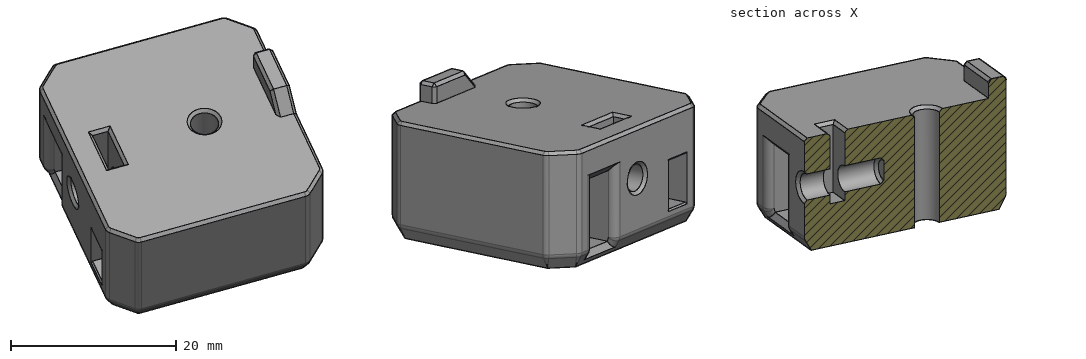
import cadquery as cq
import math

LENGTH = 30.0
WIDTH = 28.0
HEIGHT = 15.0
CORNER_CUT = 3.0
EDGE_RADIUS = 1.0
EDGE_CHAMFER = 0.4
FRONT_Y = -WIDTH / 2
BACK_Y = WIDTH / 2

SKIRT_INSET = 1.0
SKIRT_ANGLE = math.radians(30)
SKIRT_HEIGHT = SKIRT_INSET / math.tan(SKIRT_ANGLE)
RIM_TANGENT = EDGE_RADIUS * math.tan(SKIRT_ANGLE / 2)

BORE_DIAMETER = 3.4
TOP_BORE_Y = 3.0
FRONT_BORE_Z = 8.5
FRONT_BORE_DEPTH = 11.0
BORE_TIP_DIAMETER = 2.6

NUT_LENGTH = 5.7
NUT_THICKNESS = 2.0
NUT_Y = -9.4
NUT_FLOOR_Z = FRONT_BORE_Z - NUT_LENGTH / 2

LARGE_X = -7.0
LARGE_WIDTH = 4.65
LARGE_FLOOR_Z = 1.5
LARGE_HEIGHT = 9.0
FLARE = 1.0

SMALL_X = 8.45
SMALL_WIDTH = 3.8
SMALL_HEIGHT = 6.2
SMALL_Z = 5.95
SMALL_CHAMFER = 0.2

TAB_LEFT_X = -6.5
TAB_RIDGE_X = 0.0
TAB_HEIGHT = 2.5
TAB_THICKNESS = 2.5

OVERCUT = 1.0


def box_between(x_range, y_range, z_range):
    """Box spanning the given (low, high) ranges."""
    size = [high - low for low, high in (x_range, y_range, z_range)]
    corner = (x_range[0], y_range[0], z_range[0])
    return cq.Workplane("XY").box(*size, centered=False).translate(corner)


def span(center, size):
    return (center - size / 2, center + size / 2)


def prism_along_x(points, x_range):
    """Solid with a closed (y, z) outline, spanning x_range."""
    prism = cq.Workplane("YZ").polyline(points).close().extrude(x_range[1] - x_range[0])
    return prism.translate((x_range[0], 0, 0))


def core_outline(z):
    """Sharp octagon through the centres of the vertical edge roundings."""
    core_cut = CORNER_CUT - (2 - math.sqrt(2)) * EDGE_RADIUS
    x = LENGTH / 2 - EDGE_RADIUS
    y = WIDTH / 2 - EDGE_RADIUS
    points = [
        (x, y - core_cut), (x - core_cut, y), (core_cut - x, y), (-x, y - core_cut),
        (-x, core_cut - y), (core_cut - x, -y), (x - core_cut, -y), (x, core_cut - y),
    ]
    return cq.Workplane("XY").workplane(offset=z).polyline(points).close()


def make_block():
    walls = core_outline(SKIRT_HEIGHT).offset2D(EDGE_RADIUS, "arc").extrude(HEIGHT - SKIRT_HEIGHT)
    walls = walls.faces(">Z").chamfer(EDGE_CHAMFER)
    skirt = core_outline(0).extrude(SKIRT_HEIGHT, taper=-math.degrees(SKIRT_ANGLE))
    block = walls.union(skirt)
    rim_box = cq.selectors.BoxSelector(
        (-LENGTH, -WIDTH, SKIRT_HEIGHT / 2),
        (LENGTH, WIDTH, SKIRT_HEIGHT * 1.5),
        boundingbox=True,
    )
    return block.edges(rim_box).fillet(EDGE_RADIUS)


def make_tab():
    root_z = HEIGHT - EDGE_CHAMFER
    top_z = HEIGHT + TAB_HEIGHT
    profile = [
        (TAB_LEFT_X, root_z),
        (TAB_LEFT_X, top_z),
        (TAB_RIDGE_X, top_z),
        (TAB_RIDGE_X + top_z - root_z, root_z),
    ]
    tab = cq.Workplane("XZ", origin=(0, BACK_Y, 0)).polyline(profile).close().extrude(TAB_THICKNESS)
    side_edges = tab.faces("<Y or >Y").edges("not(<Z)")
    top_left = tab.faces("<X").edges(">Z")
    return side_edges.add(top_left).chamfer(EDGE_CHAMFER)


def make_top_bore():
    radius = BORE_DIAMETER / 2
    mouth = radius + EDGE_CHAMFER
    profile = [
        (0, 0), (radius, 0), (radius, HEIGHT - EDGE_CHAMFER), (mouth, HEIGHT), (0, HEIGHT),
    ]
    bore = cq.Workplane("XZ").polyline(profile).close().revolve(360, (0, 0), (0, 1))
    return bore.translate((0, TOP_BORE_Y, 0))


def make_front_bore():
    radius = BORE_DIAMETER / 2
    tip = BORE_TIP_DIAMETER / 2
    end_y = FRONT_Y + FRONT_BORE_DEPTH
    profile = [
        (0, FRONT_Y),
        (radius + EDGE_CHAMFER, FRONT_Y),
        (radius, FRONT_Y + EDGE_CHAMFER),
        (radius, end_y - (radius - tip)),
        (tip, end_y),
        (0, end_y),
    ]
    bore = cq.Workplane("XY").polyline(profile).close().revolve(360, (0, 0), (0, 1))
    return bore.translate((0, 0, FRONT_BORE_Z))


def make_nut_pocket():
    pocket = box_between(span(0, NUT_LENGTH), span(NUT_Y, NUT_THICKNESS), (NUT_FLOOR_Z, HEIGHT))
    mouth = (
        cq.Workplane("XY", origin=(0, NUT_Y, HEIGHT))
        .rect(NUT_LENGTH + 2 * EDGE_CHAMFER, NUT_THICKNESS + 2 * EDGE_CHAMFER)
        .extrude(-EDGE_CHAMFER, taper=45)
    )
    return pocket.union(mouth)


def make_jamb(x):
    """Rounded side of the flared mouth, following the wall, the rim and the skirt."""
    center = cq.Vector(x, FRONT_Y + FLARE, SKIRT_HEIGHT + RIM_TANGENT)
    down_skirt = cq.Vector(0, math.sin(SKIRT_ANGLE), -math.cos(SKIRT_ANGLE))
    upper = cq.Solid.makeCylinder(FLARE, HEIGHT, center, cq.Vector(0, 0, 1))
    lower = cq.Solid.makeCylinder(FLARE, HEIGHT, center, down_skirt)
    corner = cq.Workplane("XY").sphere(FLARE).translate(center)
    return corner.union(cq.Workplane(upper)).union(cq.Workplane(lower))


def make_large_passage():
    x_range = span(LARGE_X, LARGE_WIDTH)
    ceiling_z = LARGE_FLOOR_Z + LARGE_HEIGHT
    passage = box_between(
        x_range, (FRONT_Y - OVERCUT, BACK_Y + OVERCUT), (LARGE_FLOOR_Z, ceiling_z)
    )

    skirt_y = FRONT_Y + (SKIRT_HEIGHT - LARGE_FLOOR_Z) * math.tan(SKIRT_ANGLE)
    bevel_in = (skirt_y + FLARE, LARGE_FLOOR_Z)
    bevel_out = (
        skirt_y + FLARE * math.sin(SKIRT_ANGLE),
        LARGE_FLOOR_Z - FLARE * math.cos(SKIRT_ANGLE),
    )
    bend = (FRONT_Y + FLARE, SKIRT_HEIGHT + RIM_TANGENT)
    below_front = (FRONT_Y - OVERCUT, bevel_out[1])
    above_front = (FRONT_Y - OVERCUT, ceiling_z + FLARE)
    flare_outline = [
        above_front, (FRONT_Y, ceiling_z + FLARE), (FRONT_Y + FLARE, ceiling_z),
        bend, bevel_in, bevel_out, below_front,
    ]
    flare = prism_along_x(flare_outline, span(LARGE_X, LARGE_WIDTH + 2 * FLARE))
    for jamb_x in (x_range[0] - FLARE, x_range[1] + FLARE):
        flare = flare.cut(make_jamb(jamb_x))
    return passage.union(flare)


def make_small_passage():
    low, high = span(SMALL_Z, SMALL_HEIGHT)
    outline = [
        (FRONT_Y, low - SMALL_CHAMFER),
        (FRONT_Y + SMALL_CHAMFER, low),
        (BACK_Y, low),
        (BACK_Y, high),
        (FRONT_Y + SMALL_CHAMFER, high),
        (FRONT_Y, high + SMALL_CHAMFER),
    ]
    return prism_along_x(outline, span(SMALL_X, SMALL_WIDTH))


result = (
    make_block()
    .union(make_tab())
    .cut(make_top_bore())
    .cut(make_front_bore())
    .cut(make_nut_pocket())
    .cut(make_large_passage())
    .cut(make_small_passage())
)